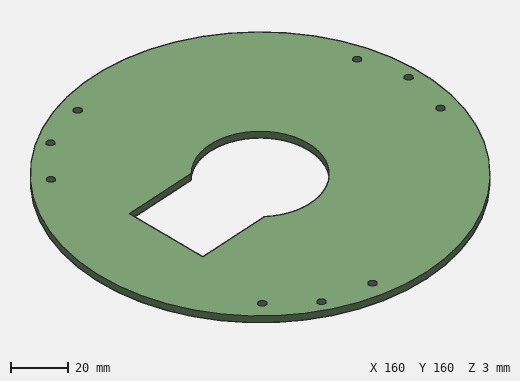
import cadquery as cq

disc_diameter = 160
thickness = 3.0

opening_diameter = 48
slot_width = 35.2
slot_reach = 47.5

hole_diameter = 3.2
group_count = 3
middle_hole_radius = 75.0
side_hole_offset = 20.0
side_hole_distance = 70.0


def make_disc():
    return cq.Workplane("XY").circle(disc_diameter / 2).extrude(thickness)


def make_keyhole():
    round_part = cq.Workplane("XY").circle(opening_diameter / 2).extrude(thickness)
    slot = (
        cq.Workplane("XY")
        .center(0, -slot_reach / 2)
        .rect(slot_width, slot_reach)
        .extrude(thickness)
    )
    return round_part.union(slot)


def make_hole_group(angle):
    centres = [
        (-side_hole_offset, side_hole_distance),
        (0, middle_hole_radius),
        (side_hole_offset, side_hole_distance),
    ]
    group = cq.Workplane("XY").pushPoints(centres).circle(hole_diameter / 2).extrude(thickness)
    return group.rotate((0, 0, 0), (0, 0, 1), angle)


result = make_disc().cut(make_keyhole())
for index in range(group_count):
    result = result.cut(make_hole_group(index * 360 / group_count))